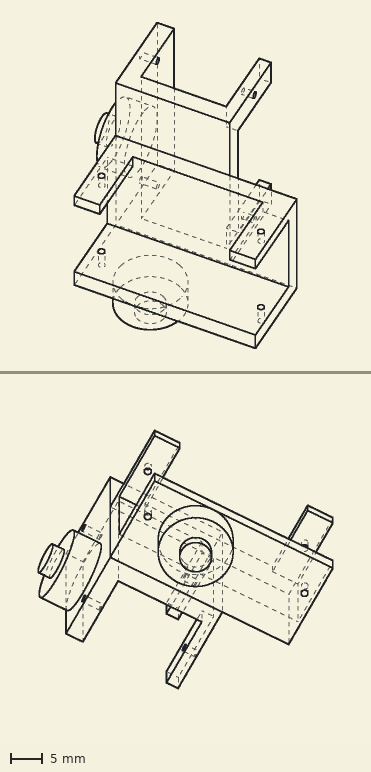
import cadquery as cq

overall_length = 38.6
overall_depth = 29.7
length = 31.8
depth = overall_depth / 2
height = 20.0
wall = 3.0
arm_thickness = 2.1
arm_width = 4.5

boss_diameter = 11.8
boss_height = 4.8
shaft_diameter = 5.0
shaft_length = overall_length - length - boss_height
boss_x = 10.45
boss_y = -depth + boss_diameter / 2

hole_diameter = 1.1
hole_inset = 1.93


def make_channel():
    """Base plate, back wall and top plate as one length of C section."""
    block = cq.Workplane("XY").box(length, depth, height, centered=False).translate((0, -depth, 0))
    inside_height = height - wall - arm_thickness
    inside = (
        cq.Workplane("XY")
        .box(length, depth - wall, inside_height, centered=False)
        .translate((0, -depth, wall))
    )
    return block.cut(inside)


def cut_notch(body):
    """Open the top plate up to the back wall, leaving an arm at each end."""
    notch = (
        cq.Workplane("XY")
        .box(length - 2 * arm_width, depth - wall, arm_thickness, centered=False)
        .translate((arm_width, -depth, height - arm_thickness))
    )
    return body.cut(notch)


def drill_holes(body):
    """Drill one vertical hole near each end, in line with the boss."""
    holes = (
        cq.Workplane("XY")
        .pushPoints([(hole_inset, boss_y), (length - hole_inset, boss_y)])
        .circle(hole_diameter / 2)
        .extrude(height)
    )
    return body.cut(holes)


def add_boss(body):
    """Add the round boss and its shaft below the base plate."""
    center = cq.Workplane("XY").center(boss_x, boss_y)
    boss = center.circle(boss_diameter / 2).extrude(-boss_height)
    shaft = center.circle(shaft_diameter / 2).extrude(-(boss_height + shaft_length))
    return body.union(boss).union(shaft)


def make_bracket():
    return add_boss(drill_holes(cut_notch(make_channel())))


brackets = []
for turn in (0, 180):
    bracket = make_bracket().rotate((0, 0, 0), (1, 0, 1), turn)
    brackets.append(bracket.val())

result = cq.Compound.makeCompound(brackets)